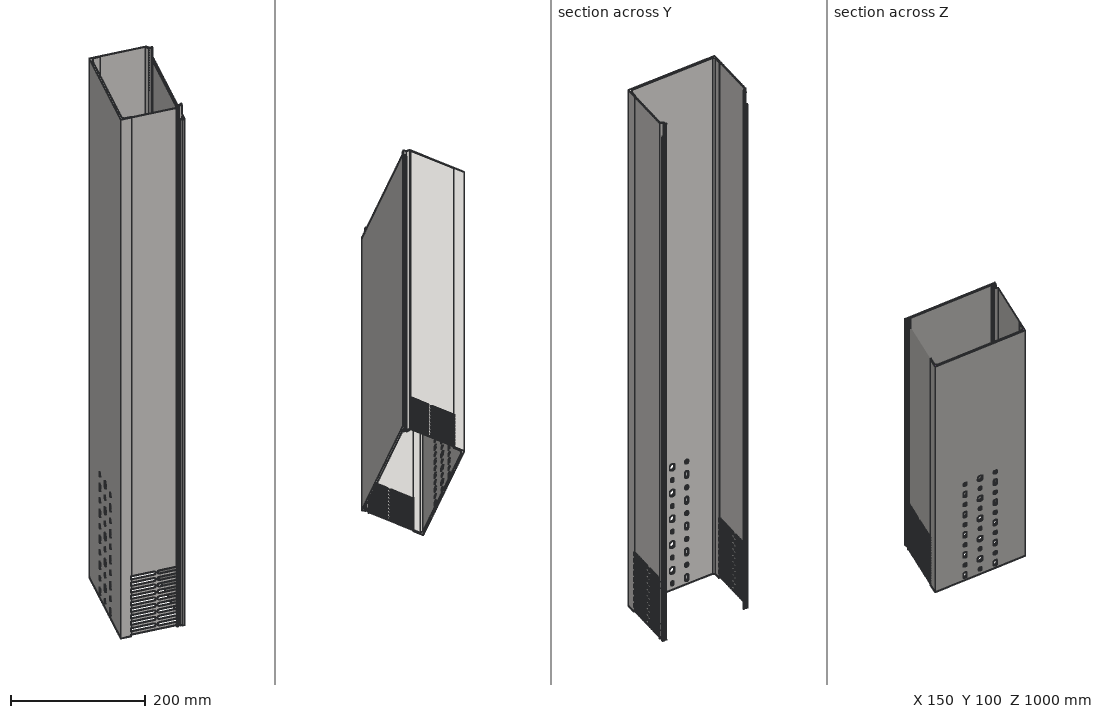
import cadquery as cq
import math

length = 1000.0
width = 150.0
depth = 100.0
half_width = width / 2
front_y = -depth / 2
back_y = depth / 2

front_thickness = 3.0
corner_thickness = 2.0
wall_thickness = 1.0
wall_step_y = -33.0
corner_chamfer = 3.0
bend_angle = 50
outer_bend_y = 39.0
inner_bend_y = 37.0
lip_outer_x = 71.0
lip_inner_x = 69.0
hook_reach = 2.0
hook_height = 2.0

hole_rows = 10
hole_pitch_x = 25.0
hole_pitch_z = 25.0
side_hole_width = 6.0
long_side_height = 14.0
wide_middle_width = 9.0
wide_middle_height = 13.0
narrow_middle_width = 5.0
short_hole_height = 8.0

slot_rows = 9
slot_pitch = 12.5
slot_height = 6.0
slot_front_y = -34.0
slot_back_y = 38.0
bridge_y = 6.0
bridge_width = 3.0

cover_length = length - 25.0
cover_thickness = 3.0
cover_under_y = back_y - cover_thickness
leg_outer_x = 74.0
leg_inner_x = 72.0
leg_taper_y = 44.0
leg_tip_y = 42.0


def mirrored_profile(right_side):
    """Close an outline given by its right side with the mirror image of that side."""
    left_side = [(-x, y) for x, y in reversed(right_side)]
    return cq.Workplane("XY").polyline(right_side + left_side).close()


def housing_body():
    """Open channel: front panel and two side walls whose back edges bend inward to a lip."""
    inward_slope = math.tan(math.radians(bend_angle))
    front_inner_y = front_y + front_thickness
    corner_inner_x = half_width - corner_thickness
    wall_inner_x = half_width - wall_thickness
    hook_y = cover_under_y - hook_height
    right_side = [
        (half_width, front_y),
        (half_width, outer_bend_y),
        (lip_outer_x, outer_bend_y + (half_width - lip_outer_x) / inward_slope),
        (lip_outer_x, cover_under_y),
        (lip_inner_x - hook_reach, cover_under_y),
        (lip_inner_x - hook_reach, hook_y),
        (lip_inner_x, hook_y),
        (lip_inner_x, inner_bend_y + (wall_inner_x - lip_inner_x) / inward_slope),
        (wall_inner_x, inner_bend_y),
        (wall_inner_x, wall_step_y),
        (corner_inner_x, wall_step_y),
        (corner_inner_x, front_inner_y + corner_chamfer),
        (corner_inner_x - corner_chamfer, front_inner_y),
    ]
    return mirrored_profile(right_side).extrude(length)


def front_hole(x, z, hole_width, hole_height):
    """Cutter through the front panel: an upright slot with round ends."""
    plane = cq.Workplane("XZ", origin=(x, front_y, z))
    return plane.slot2D(hole_height, hole_width, 90).extrude(-front_thickness)


def cut_front_holes(body):
    """Three columns of holes whose sizes alternate from row to row."""
    for row in range(hole_rows):
        z = hole_pitch_z * (row + 0.5)
        if row % 2 == 0:
            side_height = long_side_height
            middle_width = narrow_middle_width
            middle_height = short_hole_height
        else:
            side_height = short_hole_height
            middle_width = wide_middle_width
            middle_height = wide_middle_height
        body = body.cut(front_hole(0, z, middle_width, middle_height))
        for x in (-hole_pitch_x, hole_pitch_x):
            body = body.cut(front_hole(x, z, side_hole_width, side_height))
    return body


def wall_slot(z, square_end_y, round_end_y):
    """Cutter through both side walls, square at one end and round at the end by the bridge."""
    half_height = slot_height / 2
    toward_round = math.copysign(1, round_end_y - square_end_y)
    arc_start_y = round_end_y - toward_round * half_height
    return (
        cq.Workplane("YZ", origin=(-half_width, 0, z))
        .moveTo(square_end_y, -half_height)
        .lineTo(arc_start_y, -half_height)
        .threePointArc((round_end_y, 0), (arc_start_y, half_height))
        .lineTo(square_end_y, half_height)
        .close()
        .extrude(width)
    )


def cut_wall_slots(body):
    """Rows of slots split by a bridge, and a plain notch of the same length at the bottom edge."""
    for row in range(1, slot_rows + 1):
        z = slot_pitch * row
        body = body.cut(wall_slot(z, slot_front_y, bridge_y - bridge_width / 2))
        body = body.cut(wall_slot(z, slot_back_y, bridge_y + bridge_width / 2))
    notch_length = slot_back_y - slot_front_y
    notch_middle_y = (slot_back_y + slot_front_y) / 2
    notch = cq.Workplane("XY").box(width, notch_length, slot_height).translate((0, notch_middle_y, 0))
    return body.cut(notch)


def cover_body():
    """Back plate with two short legs that reach forward outside the lips of the housing."""
    right_side = [
        (half_width, back_y),
        (half_width, cover_under_y),
        (leg_outer_x, cover_under_y),
        (leg_outer_x, leg_taper_y),
        (leg_inner_x, leg_tip_y),
        (leg_inner_x, cover_under_y),
    ]
    return mirrored_profile(right_side).extrude(cover_length)


housing = cut_wall_slots(cut_front_holes(housing_body()))
cover = cover_body()

result = cq.Compound.makeCompound([housing.solids().val(), cover.val()])